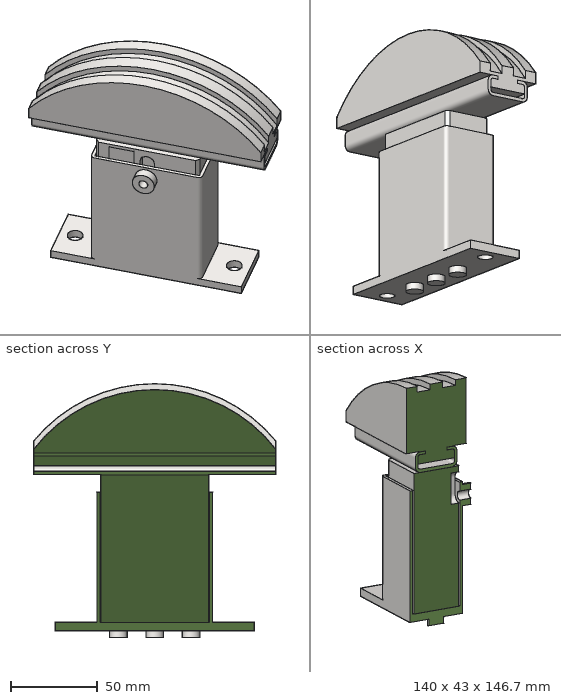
import cadquery as cq


BASE_LENGTH = 115.0
BASE_THICKNESS = 5.0
BASE_HOLE_DIAMETER = 9.0
BASE_HOLE_SPACING = 96.0
TUBE_LENGTH = 67.0
TUBE_WIDTH = 35.0
TUBE_WALL = 2.0
TUBE_CORNER_RADIUS = 2.3
TUBE_TOP = 80.0
STUD_DIAMETER = 10.3
STUD_HEIGHT = 4.0
STUD_SPACING = 21.0
BOSS_DIAMETER = 13.2
BOSS_HEIGHT = 5.5
BOSS_HOLE_DIAMETER = 5.2
BOSS_Z = TUBE_TOP - 8.2

CAVITY_LENGTH = TUBE_LENGTH - 2 * TUBE_WALL
CAVITY_WIDTH = TUBE_WIDTH - 2 * TUBE_WALL
SLIDER_LENGTH = 62.5
SLIDER_WIDTH = 30.0
SLIDER_CHAMFER = 2.0
SLIDER_TOP = 90.2
SLIDER_FRONT = -SLIDER_WIDTH / 2
SLOT_WIDTH = 8.5
SLOT_DEPTH = 5.0
SLOT_TOP = SLIDER_TOP - 4.0

INSERT_SIZE = 15.0
INSERT_DEPTH = SLOT_DEPTH
INSERT_LEFT = -23.0
INSERT_TOP = SLIDER_TOP - 2.0

RAIL_LENGTH = 140.0
RAIL_WIDTH = 28.0
RAIL_HEIGHT = 12.5
RAIL_WALL = 2.0
RAIL_OUTER_RADIUS = 3.4
RAIL_INNER_RADIUS = RAIL_OUTER_RADIUS - RAIL_WALL
RAIL_OPENING = 14.2
RAIL_TOP = SLIDER_TOP + RAIL_HEIGHT

SHOE_LENGTH = RAIL_LENGTH
SHOE_WIDTH = 40.0
SHOE_HEIGHT = 40.0
SHOE_END_HEIGHT = 6.8
GROOVE_WIDTH = 8.3
GROOVE_CENTRE_RIB = 8.4
GROOVE_DEPTH = 3.4
GROOVE_END_HEIGHT = 2.0
FOOT_HEIGHT = 5.5


def centred_box(length, width, bottom, top):
    """Box centred on the Z axis between two heights."""
    return cq.Workplane("XY", origin=(0, 0, bottom)).rect(length, width).extrude(top - bottom)


def make_housing():
    base = centred_box(BASE_LENGTH, TUBE_WIDTH, 0, BASE_THICKNESS)
    base_holes = (
        cq.Workplane("XY")
        .pushPoints([(side * BASE_HOLE_SPACING / 2, 0) for side in (-1, 1)])
        .circle(BASE_HOLE_DIAMETER / 2)
        .extrude(BASE_THICKNESS)
    )

    tube = centred_box(TUBE_LENGTH, TUBE_WIDTH, BASE_THICKNESS, TUBE_TOP)
    tube = tube.edges("|Z").fillet(TUBE_CORNER_RADIUS)
    cavity = centred_box(CAVITY_LENGTH, CAVITY_WIDTH, BASE_THICKNESS, TUBE_TOP)
    cavity = cavity.edges("|Z").fillet(TUBE_CORNER_RADIUS - TUBE_WALL)

    studs = (
        cq.Workplane("XY")
        .pushPoints([(step * STUD_SPACING, 0) for step in (-1, 0, 1)])
        .circle(STUD_DIAMETER / 2)
        .extrude(-STUD_HEIGHT)
    )

    front = cq.Workplane("XZ", origin=(0, -TUBE_WIDTH / 2, BOSS_Z))
    boss = front.circle(BOSS_DIAMETER / 2).extrude(BOSS_HEIGHT)
    boss_hole = (
        front.workplane(offset=BOSS_HEIGHT)
        .circle(BOSS_HOLE_DIAMETER / 2)
        .extrude(-(BOSS_HEIGHT + TUBE_WALL))
    )

    return base.cut(base_holes).union(tube.cut(cavity)).union(studs).union(boss).cut(boss_hole)


def make_insert():
    return (
        cq.Workplane("XZ", origin=(INSERT_LEFT, SLIDER_FRONT, INSERT_TOP))
        .rect(INSERT_SIZE, -INSERT_SIZE, centered=False)
        .extrude(-INSERT_DEPTH)
    )


def make_slider(insert):
    block = centred_box(SLIDER_LENGTH, SLIDER_WIDTH, BASE_THICKNESS, SLIDER_TOP)
    block = block.edges("|Z").chamfer(SLIDER_CHAMFER)

    slot_length = SLOT_TOP - BOSS_Z + SLOT_WIDTH / 2
    slot = (
        cq.Workplane("XZ", origin=(0, SLIDER_FRONT, SLOT_TOP - slot_length / 2))
        .slot2D(slot_length, SLOT_WIDTH, 90)
        .extrude(-SLOT_DEPTH)
    )
    return block.cut(slot).cut(insert)


def make_rail():
    outside = centred_box(RAIL_LENGTH, RAIL_WIDTH, SLIDER_TOP, RAIL_TOP)
    outside = outside.edges("|X").fillet(RAIL_OUTER_RADIUS)
    inside = centred_box(
        RAIL_LENGTH, RAIL_WIDTH - 2 * RAIL_WALL, SLIDER_TOP + RAIL_WALL, RAIL_TOP - RAIL_WALL
    )
    inside = inside.edges("|X").fillet(RAIL_INNER_RADIUS)
    opening = centred_box(RAIL_LENGTH, RAIL_OPENING, RAIL_TOP - RAIL_WALL, RAIL_TOP)
    return outside.cut(inside).cut(opening)


def arched_slab(crown_height, end_height, width, y_centre):
    """Slab on the rail top whose upper side is one arc over the shoe's length."""
    half = SHOE_LENGTH / 2
    return (
        cq.Workplane("XZ", origin=(0, y_centre + width / 2, RAIL_TOP))
        .moveTo(-half, 0)
        .lineTo(-half, end_height)
        .threePointArc((0, crown_height), (half, end_height))
        .lineTo(half, 0)
        .close()
        .extrude(width)
    )


def make_shoe():
    shoe = arched_slab(SHOE_HEIGHT, SHOE_END_HEIGHT, SHOE_WIDTH, 0)

    groove_offset = (GROOVE_CENTRE_RIB + GROOVE_WIDTH) / 2
    for side in (-1, 1):
        y_centre = side * groove_offset
        strip = centred_box(SHOE_LENGTH, GROOVE_WIDTH, RAIL_TOP, RAIL_TOP + SHOE_HEIGHT)
        strip = strip.translate((0, y_centre, 0))
        floor = arched_slab(SHOE_HEIGHT - GROOVE_DEPTH, GROOVE_END_HEIGHT, GROOVE_WIDTH, y_centre)
        shoe = shoe.cut(strip.cut(floor))

    foot_top = RAIL_TOP - RAIL_WALL
    neck = centred_box(SHOE_LENGTH, RAIL_OPENING, foot_top, RAIL_TOP)
    foot = centred_box(SHOE_LENGTH, RAIL_WIDTH - 2 * RAIL_WALL, foot_top - FOOT_HEIGHT, foot_top)
    foot = foot.edges("|X and >Z").fillet(RAIL_INNER_RADIUS)
    return shoe.union(neck).union(foot)


housing = make_housing()
insert = make_insert()
slider = make_slider(insert)
rail = make_rail()
shoe = make_shoe()

result = cq.Compound.makeCompound([housing.val(), slider.val(), insert.val(), rail.val(), shoe.val()])